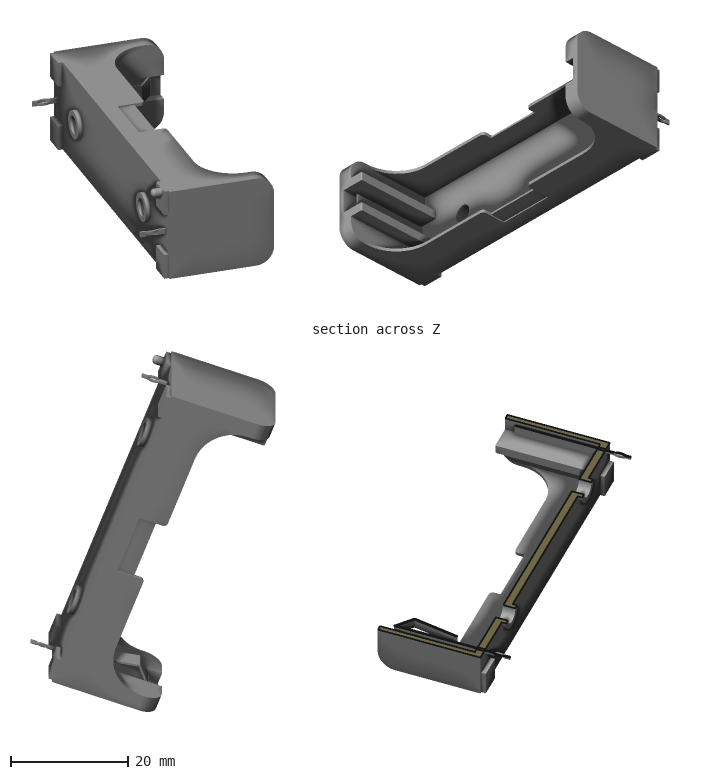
import cadquery as cq
import math


length = 58.9
height = 19.0
width = 16.5
end_wall = 2.9
side_wall = 0.6
floor = 1.5
side_height = 7.95
sweep_radius = 7.05
corner_radius = 3.25

notch_length = 10.85
notch_bottom = 6.05
notch_round = 0.7
relief_bottom = 3.0
relief_depth = 0.25

standoff = 0.8
pad_length = 4.1
pad_width = 4.5
pad_inset = 0.4
boss_offset = 17.25
boss_diameter = 5.1
screw_hole_diameter = 3.25
peg_diameter = 1.6
peg_length = 1.8
peg_dome = 0.65

rib_length = 2.65
rib_thickness = 1.65
rib_gap_top = 2.05
rib_gap_bottom = -2.5
rib_round = 0.25

seat_depth = 1.8

sheet = 0.35
contact_offset = 27.4
plate_width = 3.55
plate_top = 16.75
pin_width = 0.95
pin_end = 4.65
bulge_start = 1.55
bulge_length = 2.1
bulge_height = 0.25
spring_tip_x = -24.55
spring_tip_y = 14.15
spring_end_x = -25.9
spring_end_y = 5.9

half_length = length / 2
half_width = width / 2
wall_face = half_length - end_wall
pad_offset = half_length - pad_inset - pad_length / 2
pad_z = half_width - pad_width / 2
peg_z = half_width - peg_diameter / 2


def block(x_range, y_range, z_range):
    """Box given by its lower and upper limits on each axis."""
    sizes = [high - low for low, high in (x_range, y_range, z_range)]
    corner = cq.Vector(x_range[0], y_range[0], z_range[0])
    return cq.Workplane(cq.Solid.makeBox(*sizes, corner))


def below_face(x, z, start=0.0):
    """Sketch plane parallel to the mounting face, facing -Y, a distance below it."""
    return cq.Workplane("XZ", origin=(x, -start, z))


def shell():
    """Trough with tall end walls, low side walls and a curve between them."""
    lean = sweep_radius * (1 - math.sqrt(0.5))
    sweep_end = wall_face - sweep_radius
    profile = (
        cq.Workplane("XY", origin=(0, 0, -half_width))
        .moveTo(-half_length, 0)
        .lineTo(half_length, 0)
        .lineTo(half_length, height)
        .lineTo(wall_face, height)
        .lineTo(wall_face, side_height + sweep_radius)
        .threePointArc((wall_face - lean, side_height + lean), (sweep_end, side_height))
        .lineTo(-sweep_end, side_height)
        .threePointArc((lean - wall_face, side_height + lean), (-wall_face, side_height + sweep_radius))
        .lineTo(-wall_face, height)
        .lineTo(-half_length, height)
        .close()
    )
    solid = profile.extrude(width).edges("|X and >Y").fillet(corner_radius)
    inner = half_width - side_wall
    return solid.cut(block((-wall_face, wall_face), (floor, height), (-inner, inner)))


def finger_notch():
    """Cutter for the notches through both rims, with rounded mouths, and the reliefs below them."""
    half_notch = notch_length / 2
    mouth = half_notch + notch_round
    lean = notch_round * (1 - math.sqrt(0.5))
    shoulder = side_height - notch_round
    opening = (
        cq.Workplane("XY", origin=(0, 0, -half_width))
        .moveTo(-half_notch, notch_bottom)
        .lineTo(half_notch, notch_bottom)
        .lineTo(half_notch, shoulder)
        .threePointArc((half_notch + lean, side_height - lean), (mouth, side_height))
        .lineTo(-mouth, side_height)
        .threePointArc((-half_notch - lean, side_height - lean), (-half_notch, shoulder))
        .close()
        .extrude(width)
    )
    for low in (-half_width, half_width - relief_depth):
        relief = block((-half_notch, half_notch), (relief_bottom, notch_bottom), (low, low + relief_depth))
        opening = opening.union(relief)
    return opening


def pads():
    """Four rectangular standoff pads at the corners of the mounting face."""
    corners = [(x, z) for x in (-pad_offset, pad_offset) for z in (-pad_z, pad_z)]
    return below_face(0, 0).pushPoints(corners).rect(pad_length, pad_width).extrude(standoff)


def screw_bosses():
    """Round bosses on the mounting face around the screw holes."""
    return (
        below_face(0, 0)
        .pushPoints([(-boss_offset, 0), (boss_offset, 0)])
        .circle(boss_diameter / 2)
        .extrude(standoff)
    )


def screw_holes():
    """Cutter for the holes through the bosses and the floor."""
    return (
        below_face(0, 0, standoff)
        .pushPoints([(-boss_offset, 0), (boss_offset, 0)])
        .circle(screw_hole_diameter / 2)
        .extrude(-(standoff + floor))
    )


def locating_peg():
    """Domed peg standing on one pad of the mounting face."""
    return (
        below_face(contact_offset, peg_z, standoff)
        .circle(peg_diameter / 2)
        .extrude(peg_length)
        .faces("<Y")
        .edges()
        .fillet(peg_dome)
    )


def polarity_ribs():
    """Two ribs that let only the raised battery terminal reach the +X contact."""
    ribs = cq.Workplane()
    for low in (rib_gap_bottom - rib_thickness, rib_gap_top):
        z_range = (low, low + rib_thickness)
        rib = block((wall_face - rib_length, wall_face), (floor, height), z_range)
        ribs = ribs.add(rib.edges("|Z and <X and >Y").fillet(rib_round))
    return ribs


def contact_seat(side):
    """Cutter in an end wall: recess for the contact plate and a slot for its pin."""
    half_pin = pin_width / 2
    recess = block((wall_face, wall_face + seat_depth), (floor, height), (rib_gap_bottom, rib_gap_top))
    slot = block((contact_offset - sheet / 2, contact_offset + sheet / 2), (0, floor), (-half_pin, half_pin))
    seat = recess.union(slot)
    return seat if side > 0 else seat.mirror("YZ")


def make_housing():
    body = shell().cut(finger_notch())
    body = body.union(pads()).union(screw_bosses()).union(locating_peg())
    for rib in polarity_ribs().vals():
        body = body.union(cq.Workplane(rib))
    for side in (-1, 1):
        body = body.cut(contact_seat(side))
    return body.cut(screw_holes())


def pin_half(direction, z_low):
    """Half of a pin's width, as a strip that bows sideways along the press-fit bulge."""
    bulge_end = bulge_start + bulge_length
    bulge_middle = bulge_start + bulge_length / 2
    left = -sheet / 2
    right = sheet / 2
    bow = direction * bulge_height
    return (
        cq.Workplane("XY", origin=(0, 0, z_low))
        .moveTo(left, floor)
        .lineTo(left, -bulge_start)
        .threePointArc((left + bow, -bulge_middle), (left, -bulge_end))
        .lineTo(left, -pin_end)
        .lineTo(right, -pin_end)
        .lineTo(right, -bulge_end)
        .threePointArc((right + bow, -bulge_middle), (right, -bulge_start))
        .lineTo(right, floor)
        .close()
        .extrude(pin_width / 2)
    )


def contact_base(side):
    """Plate in the end wall with its pin; the pin's halves bow in opposite directions."""
    half_plate = plate_width / 2
    plate = block((-sheet / 2, sheet / 2), (floor, plate_top), (-half_plate, half_plate))
    pin = pin_half(side, 0).union(pin_half(-side, -pin_width / 2))
    return plate.union(pin).translate((side * contact_offset, 0, 0))


def spring_leaf():
    """V-shaped leaf from the top of the -X plate, out to the battery and back."""
    path = (
        cq.Workplane("XY", origin=(0, 0, -plate_width / 2))
        .moveTo(-contact_offset, plate_top - sheet / 2)
        .lineTo(spring_tip_x, spring_tip_y)
        .lineTo(spring_end_x, spring_end_y)
    )
    return path.offset2D(sheet / 2).extrude(plate_width)


def make_spring_contact():
    return contact_base(-1).union(spring_leaf())


def make_plate_contact():
    return contact_base(1)


housing = make_housing()
spring_contact = make_spring_contact()
plate_contact = make_plate_contact()

result = cq.Compound.makeCompound([
    housing.val(),
    spring_contact.val(),
    plate_contact.val(),
])